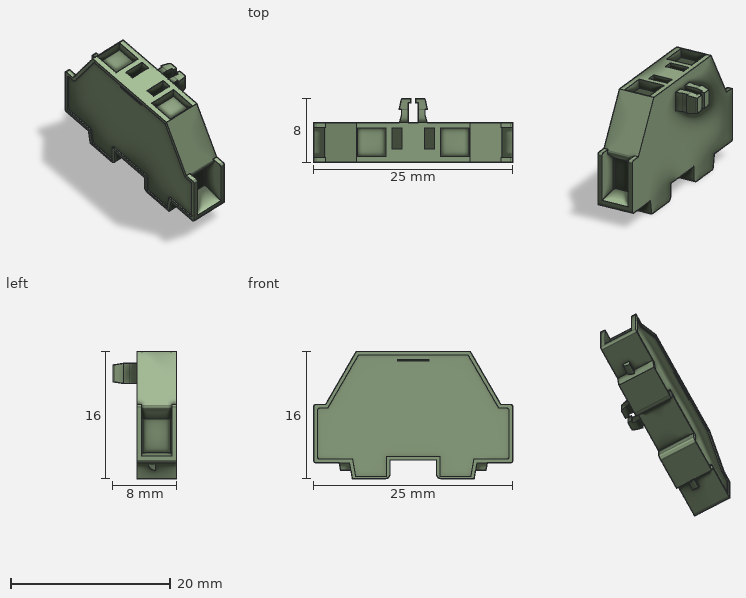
import cadquery as cq
import math

length = 25.0
depth = 5.0
height = 16.0
top_half_width = 7.15
shoulder_z = 9.33
wing_bottom_z = 2.0
shoulder_angle = math.radians(60)
foot_top_half_width = 8.0
foot_bottom_half_width = 7.65
notch_half_width = 2.9
notch_height = 2.33
wing_radius = 0.3
notch_radius = 0.6

half_length = length / 2
shoulder_half_width = top_half_width + (height - shoulder_z) / math.tan(shoulder_angle)
foot_lean = (foot_top_half_width - foot_bottom_half_width) / wing_bottom_z

rim = 0.47
foot_rim = 0.3
recess_depth = 0.2
slit_length = 4.0
slit_height = 0.18
slit_z = 14.9
slit_depth = 0.3

entry_wall = 0.6
entry_floor_z = 2.86
entry_back_x = 9.45
entry_back_floor_z = 3.3
entry_back_top_z = 7.49
entry_corner_x = 0.32
entry_corner_y = 0.18
lip_start_z = 9.18
lip_radius = 0.44
ceiling_angle = math.radians(36)

pocket_y_max = 4.32
screw_pocket_inner_x = 3.44
screw_pocket_outer_x = 7.05
screw_pocket_floor_outer_x = 7.0
screw_pocket_y_min = 0.72
screw_pocket_depth = 1.23
test_pocket_inner_x = 1.43
test_pocket_outer_x = 2.68
test_pocket_y_min = 1.69
test_pocket_depth = 3.0

catch_length = 1.3
catch_y = 2.64
catch_radius = 0.95

peg_z = 13.22
peg_height = 2.56
peg_tip_height = 2.13
peg_length = 3.0
peg_slot_half_width = 0.6
peg_hook_half_width = 0.3
peg_hook_thickness = 0.52
peg_root_half_width = 1.75
peg_neck_half_width = 1.5
peg_barb_half_width = 1.78
peg_tip_half_width = 1.54
peg_taper_length = 0.9
peg_barb_start = 1.65
peg_tip_chamfer_x = 0.12
peg_tip_chamfer_y = 0.23

overlap = 0.5


def box(x0, x1, y0, y1, z0, z1):
    return cq.Workplane("XY").box(x1 - x0, y1 - y0, z1 - z0, centered=False).translate((x0, y0, z0))


def both_ends(solid):
    """The solid together with its mirror image across the YZ plane."""
    return solid.union(solid.mirror("YZ"))


def xz_prism(points, y0, y1):
    """Closed XZ polygon extruded from y0 to y1."""
    return cq.Workplane("XZ", origin=(0, y0, 0)).polyline(points).close().extrude(y0 - y1)


def symmetric_prism(right_half, y0, y1):
    left_half = [(-x, z) for x, z in reversed(right_half)]
    return xz_prism(right_half + left_half, y0, y1)


def round_corners(solid, corners, radius):
    """Round the Y-parallel edges that pass through the given XZ corners, on both ends."""
    reach = 0.01
    for x, z in corners:
        for side in (-1, 1):
            near = cq.selectors.BoxSelector(
                (side * x - reach, -depth, z - reach), (side * x + reach, 2 * depth, z + reach)
            )
            solid = solid.edges("|Y").edges(near).fillet(radius)
    return solid


def housing():
    body = symmetric_prism(
        [
            (top_half_width, height),
            (shoulder_half_width, shoulder_z),
            (half_length, shoulder_z),
            (half_length, wing_bottom_z),
            (foot_top_half_width, wing_bottom_z),
            (foot_bottom_half_width, 0),
            (notch_half_width, 0),
            (notch_half_width, notch_height),
        ],
        0,
        depth,
    )
    wing_corners = [(half_length, shoulder_z), (half_length, wing_bottom_z)]
    body = round_corners(body, wing_corners, wing_radius)
    return round_corners(body, [(notch_half_width, 0)], notch_radius)


def face_recess():
    slope_shift = rim * math.tan(shoulder_angle / 2)
    foot_shift = rim * (math.hypot(1, foot_lean) - foot_lean)
    foot_end_shift = rim * math.hypot(1, foot_lean) - foot_rim * foot_lean
    end_x = half_length - rim
    shoulder_top = shoulder_z - rim
    wing_floor = wing_bottom_z + rim
    recess = symmetric_prism(
        [
            (top_half_width - slope_shift, height - rim),
            (shoulder_half_width - slope_shift, shoulder_top),
            (end_x, shoulder_top),
            (end_x, wing_floor),
            (foot_top_half_width - foot_shift, wing_floor),
            (foot_bottom_half_width - foot_end_shift, foot_rim),
            (notch_half_width + rim, foot_rim),
            (notch_half_width + rim, notch_height + rim),
        ],
        -overlap,
        recess_depth,
    )
    recess = round_corners(recess, [(end_x, shoulder_top), (end_x, wing_floor)], wing_radius)
    slit_bottom = slit_z - slit_height / 2
    slit = (
        cq.Workplane("YZ", origin=(-slit_length / 2, 0, 0))
        .polyline(
            [
                (0, slit_bottom),
                (recess_depth + slit_depth, slit_bottom),
                (recess_depth, slit_bottom + slit_height),
                (0, slit_bottom + slit_height),
            ]
        )
        .close()
        .extrude(slit_length)
    )
    return recess.union(slit)


def wire_entries():
    """Open-topped end channels running inwards under a rounded lip."""
    def lip_point(angle):
        return (lip_x + lip_radius * math.cos(angle), lip_z + lip_radius * math.sin(angle))

    slope_normal = math.pi / 2 - shoulder_angle
    ceiling_normal = ceiling_angle - math.pi / 2
    lip_start_x = shoulder_half_width + (shoulder_z - lip_start_z) / math.tan(shoulder_angle)
    lip_x = lip_start_x - lip_radius * math.cos(slope_normal)
    lip_z = lip_start_z - lip_radius * math.sin(slope_normal)
    outer_x = half_length + overlap
    floor_slope = (entry_back_floor_z - entry_floor_z) / (half_length - entry_back_x)
    entry = (
        cq.Workplane("XZ", origin=(0, entry_wall, 0))
        .moveTo(outer_x, entry_floor_z - overlap * floor_slope)
        .lineTo(entry_back_x, entry_back_floor_z)
        .lineTo(entry_back_x, entry_back_top_z)
        .lineTo(*lip_point(ceiling_normal))
        .threePointArc(lip_point((ceiling_normal + slope_normal) / 2), lip_point(slope_normal))
        .lineTo(shoulder_half_width, shoulder_z)
        .lineTo(shoulder_half_width, shoulder_z + overlap)
        .lineTo(outer_x, shoulder_z + overlap)
        .close()
        .extrude(2 * entry_wall - depth)
    )
    side_y = depth - entry_wall
    corner_x = entry_back_x + entry_corner_x
    bevelled_plan = (
        cq.Workplane("XY")
        .polyline(
            [
                (outer_x, entry_wall),
                (corner_x, entry_wall),
                (entry_back_x, entry_wall + entry_corner_y),
                (entry_back_x, side_y - entry_corner_y),
                (corner_x, side_y),
                (outer_x, side_y),
            ]
        )
        .close()
        .extrude(height)
    )
    return both_ends(entry.intersect(bevelled_plan))


def top_pockets():
    screw_pocket = xz_prism(
        [
            (screw_pocket_inner_x, height),
            (screw_pocket_outer_x, height),
            (screw_pocket_floor_outer_x, height - screw_pocket_depth),
            (screw_pocket_inner_x, height - screw_pocket_depth),
        ],
        screw_pocket_y_min,
        pocket_y_max,
    )
    test_pocket = box(
        test_pocket_inner_x, test_pocket_outer_x,
        test_pocket_y_min, pocket_y_max,
        height - test_pocket_depth, height + overlap,
    )
    return both_ends(screw_pocket.union(test_pocket))


def catches():
    """Quarter-round catches under the wings, with ends parallel to the foot sides."""
    outer_x = foot_top_half_width + catch_length
    bottom_z = wing_bottom_z - catch_radius
    top_z = wing_bottom_z + overlap
    bounds = xz_prism(
        [
            (foot_bottom_half_width, bottom_z),
            (outer_x - foot_lean * catch_radius, bottom_z),
            (outer_x + foot_lean * overlap, top_z),
            (foot_bottom_half_width, top_z),
        ],
        catch_y,
        catch_y + catch_radius,
    )
    round_bar = (
        cq.Workplane("YZ", origin=(foot_bottom_half_width, 0, 0))
        .center(catch_y, wing_bottom_z)
        .circle(catch_radius)
        .extrude(2 * catch_length)
    )
    below_wing = box(0, half_length, 0, depth, 0, wing_bottom_z)
    return both_ends(bounds.intersect(round_bar).intersect(below_wing))


def snap_peg():
    tip_y = depth + peg_length
    barb_y = depth + peg_barb_start
    root_y = depth - entry_wall
    prong = (
        cq.Workplane("XY", origin=(0, 0, peg_z - peg_height / 2))
        .polyline(
            [
                (peg_slot_half_width, root_y),
                (peg_root_half_width, root_y),
                (peg_root_half_width, depth),
                (peg_neck_half_width, depth + peg_taper_length),
                (peg_neck_half_width, barb_y),
                (peg_barb_half_width, barb_y),
                (peg_tip_half_width, tip_y - peg_tip_chamfer_y),
                (peg_tip_half_width - peg_tip_chamfer_x, tip_y),
                (peg_hook_half_width, tip_y),
                (peg_hook_half_width, tip_y - peg_hook_thickness),
                (peg_slot_half_width, tip_y - peg_hook_thickness),
            ]
        )
        .close()
        .extrude(peg_height)
    )
    side_profile = (
        cq.Workplane("YZ")
        .polyline(
            [
                (root_y, peg_z - peg_height / 2),
                (barb_y, peg_z - peg_height / 2),
                (tip_y, peg_z - peg_tip_height / 2),
                (tip_y, peg_z + peg_tip_height / 2),
                (barb_y, peg_z + peg_height / 2),
                (root_y, peg_z + peg_height / 2),
            ]
        )
        .close()
        .extrude(half_length)
    )
    return both_ends(prong.intersect(side_profile))


result = (
    housing()
    .union(catches())
    .union(snap_peg())
    .cut(face_recess())
    .cut(wire_entries())
    .cut(top_pockets())
)